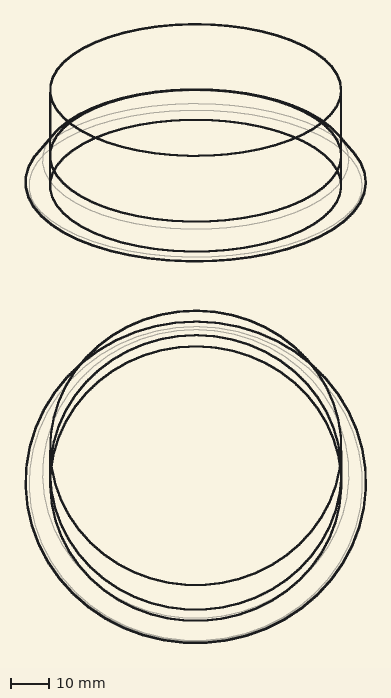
import cadquery as cq
import math

overall_height = 28.0

drum_radius = 76.0 / 2

skirt_radius = 44.4
rim_round = 1.0
shoulder_round = 3.0
shoulder_crest_radius = 37.5
shoulder_crest_height = 8.8


def make_drum():
    return cq.Workplane("XY").circle(drum_radius).extrude(overall_height)


def point_on_round(centre, radius, angle):
    return (centre[0] + radius * math.cos(angle), centre[1] + radius * math.sin(angle))


def make_skirt():
    """Revolved ring whose cone is the common tangent of the rim and shoulder rounds."""
    rim_centre = (skirt_radius - rim_round, rim_round)
    shoulder_centre = (shoulder_crest_radius, shoulder_crest_height - shoulder_round)

    run = rim_centre[0] - shoulder_centre[0]
    rise = shoulder_centre[1] - rim_centre[1]
    centre_distance = math.hypot(run, rise)
    cone_angle = math.atan2(run, rise) - math.asin((shoulder_round - rim_round) / centre_distance)

    base_angle = -math.pi / 2
    wall_angle = math.acos((drum_radius - shoulder_centre[0]) / shoulder_round)

    profile = (
        cq.Workplane("XZ")
        .moveTo(drum_radius, 0)
        .lineTo(rim_centre[0], 0)
        .threePointArc(
            point_on_round(rim_centre, rim_round, (base_angle + cone_angle) / 2),
            point_on_round(rim_centre, rim_round, cone_angle),
        )
        .lineTo(*point_on_round(shoulder_centre, shoulder_round, cone_angle))
        .threePointArc(
            point_on_round(shoulder_centre, shoulder_round, (cone_angle + wall_angle) / 2),
            point_on_round(shoulder_centre, shoulder_round, wall_angle),
        )
        .close()
    )
    return profile.revolve(360, (0, 0, 0), (0, 1, 0))


drum = make_drum()
skirt = make_skirt()

result = cq.Compound.makeCompound([drum.val(), skirt.val()])